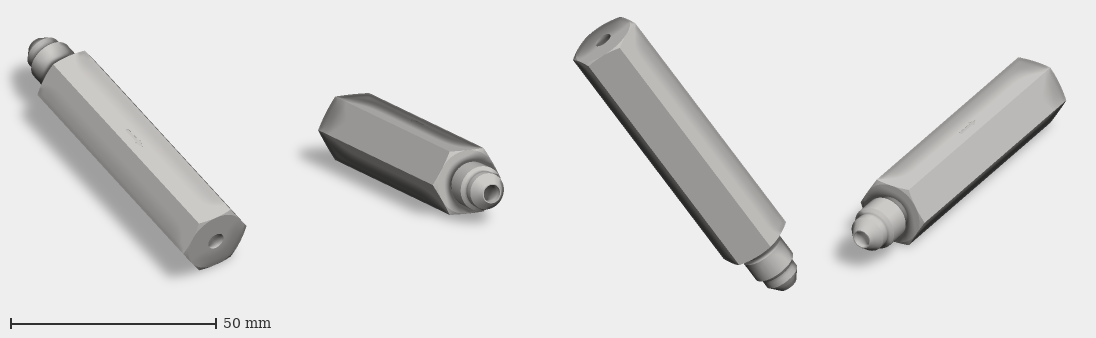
import cadquery as cq
import math

overall_length = 81.3
across_flats = 15.85
across_corners = across_flats / math.cos(math.radians(30))

body_start = 14.1
body_chamfer_length = 0.5

tip_diameter = 4.9
nose_diameter = 9.0
thread_diameter = 11.1
relief_diameter = 9.2
cone_end = 2.8
nose_end = 5.0
thread_start = 6.1
thread_end = 11.55
thread_end_chamfer = 0.5

bore_diameter = 4.4

arrow_tail_x = 43.4
arrow_length = 7.15
arrow_head_length = 2.1
arrow_shaft_width = 0.8
arrow_head_width = 1.9
arrow_center_y = -1.7
arrow_depth = 0.1


def revolve_about_x(profile_points):
    """Revolve an (x, radius) outline about the X axis."""
    outline = cq.Workplane("XY").polyline(profile_points).close()
    return outline.revolve(360, (0, 0, 0), (1, 0, 0))


def make_hex_body():
    """Hexagonal bar with horizontal top and bottom flats and chamfered corners at both ends."""
    bar = (
        cq.Workplane("YZ")
        .workplane(offset=body_start)
        .polygon(6, across_corners)
        .extrude(overall_length - body_start)
    )
    end_radius = across_flats / 2
    corner_radius = across_corners / 2
    corner_envelope = revolve_about_x([
        (body_start, 0),
        (body_start, end_radius),
        (body_start + body_chamfer_length, corner_radius),
        (overall_length - body_chamfer_length, corner_radius),
        (overall_length, end_radius),
        (overall_length, 0),
    ])
    return bar.intersect(corner_envelope)


def make_fitting_end():
    """Turned end with flare cone, nose, thread and relief groove."""
    thread_radius = thread_diameter / 2
    relief_radius = relief_diameter / 2
    return revolve_about_x([
        (0, 0),
        (0, tip_diameter / 2),
        (cone_end, nose_diameter / 2),
        (nose_end, nose_diameter / 2),
        (thread_start, thread_radius),
        (thread_end, thread_radius),
        (thread_end + thread_end_chamfer, relief_radius),
        (body_start, relief_radius),
        (body_start, 0),
    ])


def make_bore():
    return cq.Workplane("YZ").circle(bore_diameter / 2).extrude(overall_length)


def make_flow_arrow():
    """Arrow pointing toward +X, sunk into the top flat."""
    head_start = arrow_length - arrow_head_length
    half_shaft = arrow_shaft_width / 2
    half_head = arrow_head_width / 2
    return (
        cq.Workplane("XY", origin=(arrow_tail_x, arrow_center_y, across_flats / 2))
        .polyline([
            (0, -half_shaft),
            (head_start, -half_shaft),
            (head_start, -half_head),
            (arrow_length, 0),
            (head_start, half_head),
            (head_start, half_shaft),
            (0, half_shaft),
        ])
        .close()
        .extrude(-arrow_depth)
    )


result = (
    make_hex_body()
    .union(make_fitting_end())
    .cut(make_bore())
    .cut(make_flow_arrow())
)